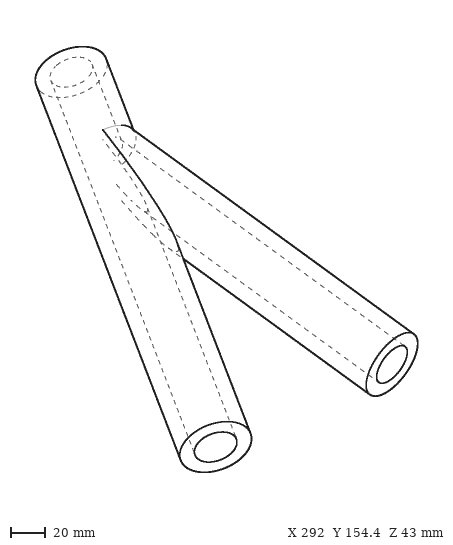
import cadquery as cq
import math

run_length = 292.0
outer_diameter = 43.0
bore_diameter = 25.5
branch_angle = 30.0
branch_start = 63.7
branch_length = 228.5

run_origin = (0, 0, 0)
run_direction = (1, 0, 0)
branch_origin = (branch_start, 0, 0)
branch_direction = (
    math.cos(math.radians(branch_angle)),
    math.sin(math.radians(branch_angle)),
    0,
)


def cylinder_along(origin, direction, diameter, length):
    """Solid round bar starting at origin and running along direction."""
    plane = cq.Plane(origin=origin, xDir=(0, 0, 1), normal=direction)
    return cq.Workplane(plane).circle(diameter / 2).extrude(length)


def wye(diameter):
    """Straight run joined by the slanted branch, both of one diameter."""
    run = cylinder_along(run_origin, run_direction, diameter, run_length)
    branch = cylinder_along(branch_origin, branch_direction, diameter, branch_length)
    return run.union(branch)


result = wye(outer_diameter).cut(wye(bore_diameter))